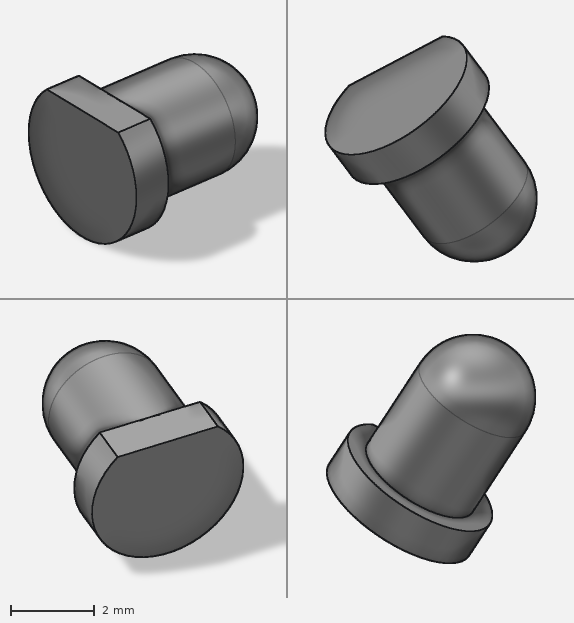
import cadquery as cq

flange_radius = 2.0
flange_thickness = 1.0
body_radius = 1.5
overall_length = 5.0

flat_height = body_radius
dome_start = overall_length - body_radius


def make_flange():
    """Round flange with one flat on its +Z side."""
    disc = cq.Workplane("XZ").circle(flange_radius).extrude(-flange_thickness)
    flange_width = 2 * flange_radius
    flange_height = flange_radius + flat_height
    envelope = (
        cq.Workplane("XY")
        .box(flange_width, flange_thickness, flange_height, centered=(True, False, False))
        .translate((0, 0, -flange_radius))
    )
    return disc.intersect(envelope)


def make_domed_body():
    """Cylindrical body with a hemispherical end, revolved about the Y axis."""
    dome_mid = body_radius * 0.5 ** 0.5
    return (
        cq.Workplane("XY")
        .lineTo(body_radius, 0)
        .lineTo(body_radius, dome_start)
        .threePointArc((dome_mid, dome_start + dome_mid), (0, overall_length))
        .close()
        .revolve(360, (0, 0, 0), (0, 1, 0))
    )


result = make_flange().union(make_domed_body())